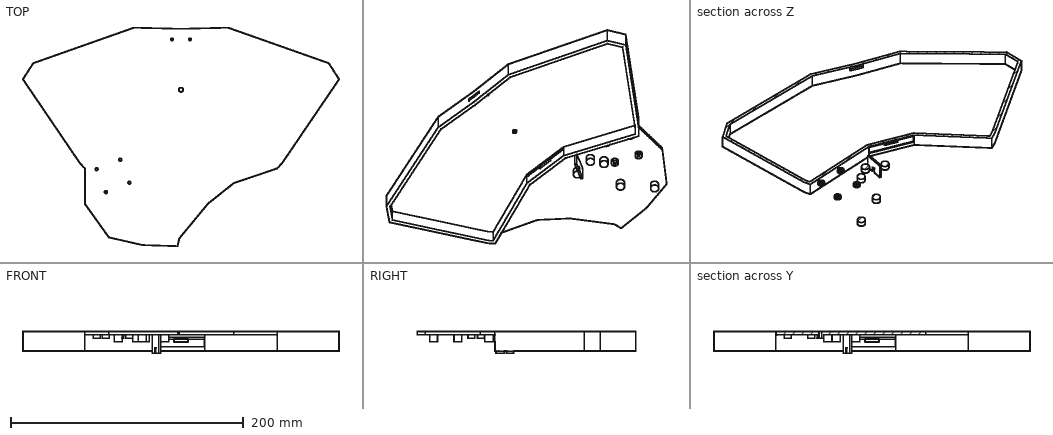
import cadquery as cq
import math

TOTAL_HEIGHT = 19.0
FOOT_DROP = 2.0
TOP_Z = TOTAL_HEIGHT - FOOT_DROP
PLATE_THICKNESS = 3.0
PLATE_BOTTOM_Z = TOP_Z - PLATE_THICKNESS
WALL_THICKNESS = 3.0
OVERLAP = 0.5

HALF_WIDTH = 271.76 / 2
TOTAL_DEPTH = 187.92
BACK_Y = 53.45
FRONT_Y = BACK_Y - TOTAL_DEPTH
BACK_DIP = (0.0, BACK_Y - 1.0)
BACK_CORNER = (40.4, BACK_Y)
SHOULDER = (127.0, 22.9)
SIDE_CORNER = (HALF_WIDTH, 9.0)
SIDE_END = (86.9, -63.1)
FRONT_CORNER = (82.5, -67.7)
FRONT_WALL_TILT = math.radians(22.0)
FRONT_WALL_HALF_WIDTH = 20.5
FRONT_WALL_Y = FRONT_CORNER[1] + (FRONT_CORNER[0] - FRONT_WALL_HALF_WIDTH) * math.tan(FRONT_WALL_TILT)

APRON = [
    (-FRONT_CORNER[0], -98.2),
    (-62.0, -126.9),
    (-33.1, -133.5),
    (-2.9, FRONT_Y),
    (-1.4, -127.7),
    (23.3, -97.8),
    (45.3, -80.3),
]

WINDOW_BOTTOM_Z = 4.0
WINDOW_TOP_Z = 10.4
WINDOW_RECESS = 1.0
WINDOW_HALF_WIDTH = 20.0
SLIT_TOP_Z = 12.0
SLOT_HALF_WIDTH = 6.0
SLOT_BOTTOM_Z = 8.0

CENTRE_HOLE_DIAMETER = 3.5
BACK_HOLE_DIAMETER = 1.86
BACK_HOLE_HALF_SPACING = 7.8
BACK_HOLE_Y = 43.3
SHORT_POST_DIAMETER = 6.0
SHORT_POST_HEIGHT = 3.0
SHORT_POST_HOLE_DIAMETER = 2.1
SHORT_POSTS = [(-72.5, -68.2), (-52.1, -60.1), (-44.3, -79.8), (-64.5, -87.9)]
TALL_POST_DIAMETER = 7.0
TALL_POST_HEIGHT = 6.0
TALL_POSTS = [(-54.0, -120.3), (-33.3, -99.5), (-38.0, -72.9), (-30.8, -63.4)]
FIN_POST_DIAMETER = 6.85
FIN_POST = (-13.8, -65.7)

FIN_CORNER = (-18.9, -67.0)
FIN_LENGTH = 16.0
FIN_THICKNESS = 1.7
FIN_NOTCH_WIDTH = 2.3
FIN_NOTCH_CENTRE = 8.6
FIN_NOTCH_TOP_Z = 2.8


def mirrored(point):
    return (-point[0], point[1])


def extruded(points, bottom_z, top_z):
    return cq.Workplane("XY", origin=(0, 0, bottom_z)).polyline(points).close().extrude(top_z - bottom_z)


def block(x_range, y_range, z_range):
    """Box between the given limits along each axis."""
    lows, highs = zip(x_range, y_range, z_range)
    size = [high - low for low, high in zip(lows, highs)]
    return cq.Workplane("XY", origin=lows).box(*size, centered=False)


def cylinders(points, diameter, bottom_z, top_z):
    plane = cq.Workplane("XY", origin=(0, 0, bottom_z))
    return plane.pushPoints(points).circle(diameter / 2).extrude(top_z - bottom_z)


def back_outline():
    """Corners from the right front corner round the back to the left front corner."""
    right = [FRONT_CORNER, SIDE_END, SIDE_CORNER, SHOULDER, BACK_CORNER]
    left = [mirrored(point) for point in reversed(right)]
    return right + [BACK_DIP] + left


def make_plate():
    return extruded(back_outline() + APRON, PLATE_BOTTOM_Z, TOP_Z)


def make_walls():
    """Ring of walls, open at the bottom, with the openings in its front and back."""
    front = [(-FRONT_WALL_HALF_WIDTH, FRONT_WALL_Y), (FRONT_WALL_HALF_WIDTH, FRONT_WALL_Y)]
    outline = back_outline() + front
    walls = extruded(outline, 0, TOP_Z)
    cavity = cq.Workplane("XY").polyline(outline).close().offset2D(-WALL_THICKNESS, "intersection")
    walls = walls.cut(cavity.extrude(PLATE_BOTTOM_Z))

    window = block(
        (-WINDOW_HALF_WIDTH, WINDOW_HALF_WIDTH),
        (FRONT_WALL_Y, FRONT_WALL_Y + WINDOW_RECESS),
        (WINDOW_BOTTOM_Z, WINDOW_TOP_Z),
    )
    slit = block(
        (-WINDOW_HALF_WIDTH, WINDOW_HALF_WIDTH),
        (FRONT_WALL_Y, FRONT_WALL_Y + WALL_THICKNESS),
        (WINDOW_TOP_Z, SLIT_TOP_Z),
    )
    slot = block(
        (-SLOT_HALF_WIDTH, SLOT_HALF_WIDTH),
        (FRONT_WALL_Y, BACK_Y),
        (SLOT_BOTTOM_Z, WINDOW_TOP_Z),
    )
    return walls.cut(window).cut(slit).cut(slot)


def make_posts():
    top_z = PLATE_BOTTOM_Z + OVERLAP
    short = cylinders(SHORT_POSTS, SHORT_POST_DIAMETER, PLATE_BOTTOM_Z - SHORT_POST_HEIGHT, top_z)
    tall = cylinders(TALL_POSTS, TALL_POST_DIAMETER, PLATE_BOTTOM_Z - TALL_POST_HEIGHT, top_z)
    beside_fin = cylinders([FIN_POST], FIN_POST_DIAMETER, PLATE_BOTTOM_Z - TALL_POST_HEIGHT, top_z)
    return short.union(tall).union(beside_fin)


def make_fin():
    """Thin upright fin whose lower edge is notched into two feet."""
    fin = block(
        (0, FIN_THICKNESS),
        (0, FIN_LENGTH),
        (-FOOT_DROP, PLATE_BOTTOM_Z + OVERLAP),
    )
    notch = block(
        (0, FIN_THICKNESS),
        (FIN_NOTCH_CENTRE - FIN_NOTCH_WIDTH / 2, FIN_NOTCH_CENTRE + FIN_NOTCH_WIDTH / 2),
        (-FOOT_DROP, FIN_NOTCH_TOP_Z),
    )
    turn = math.degrees(FRONT_WALL_TILT)
    return fin.cut(notch).rotate((0, 0, 0), (0, 0, 1), turn).translate((*FIN_CORNER, 0))


def make_holes():
    back_holes = [(side * BACK_HOLE_HALF_SPACING, BACK_HOLE_Y) for side in (-1, 1)]
    centre = cylinders([(0, 0)], CENTRE_HOLE_DIAMETER, 0, TOP_Z)
    back = cylinders(back_holes, BACK_HOLE_DIAMETER, 0, TOP_Z)
    posts = cylinders(SHORT_POSTS, SHORT_POST_HOLE_DIAMETER, 0, TOP_Z)
    return centre.union(back).union(posts)


result = make_plate().union(make_walls()).union(make_posts()).union(make_fin()).cut(make_holes())